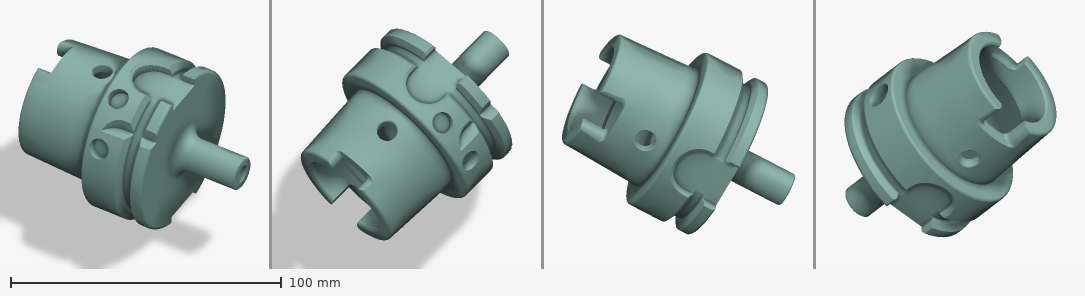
import cadquery as cq
import math


TOTAL_LENGTH = 83.0
TAPER_LENGTH = 32.0
FLANGE_WIDTH = 25.9
FLANGE_END = TAPER_LENGTH + FLANGE_WIDTH

FLANGE_RADIUS = 31.5
TAPER_BASE_RADIUS = 24.3
TAPER_SLOPE = 0.05
TAPER_TIP_RADIUS = TAPER_BASE_RADIUS - TAPER_SLOPE * TAPER_LENGTH
ARBOR_RADIUS = 6.5

TIP_FILLET = 1.2
FLANGE_FRONT_FILLET = 1.1
FLANGE_BACK_FILLET = 1.25
ARBOR_FILLET = 5.0
ARBOR_CHAMFER = 0.5

GROOVE_CENTRE_X = 50.05
GROOVE_WIDTH = 3.7
GROOVE_RADIUS = 27.5
GROOVE_FLARE_LENGTH = 1.5
GROOVE_FLARE_DEPTH = 2.6

BORE_RADIUS = 17.0
BORE_CHAMFER = 0.7
BORE_LIP_END = 12.8
UNDERCUT_RADIUS = 19.9
UNDERCUT_BEVEL_LENGTH = 1.7
BORE_FLOOR_X = 30.0
BORE_FLOOR_FILLET = 4.4
TUBE_HOLE_RADIUS = 9.1
TUBE_HOLE_CHAMFER = 0.5
TUBE_HOLE_DEPTH = 10.0
COOLANT_HOLE_RADIUS = 3.5

DRIVE_SLOT_HALF_WIDTH = 6.2
DRIVE_SLOT_FLARE_RADIUS = 3.0
DRIVE_SLOT_SHOULDER_Z = 21.0
DRIVE_SLOT_FLOOR_FILLET = 1.5
TOP_DRIVE_SLOT_DEPTH = 6.15
BOTTOM_DRIVE_SLOT_DEPTH = 10.05

CROSS_HOLE_X = 23.1
CROSS_HOLE_RADIUS = 3.7
CROSS_HOLE_CHAMFER = 0.4

KEY_SLOT_FLOOR = 26.5
KEY_SLOT_END_CENTRE_X = 45.15
TOP_KEY_SLOT_HALF_WIDTH = 8.0
BOTTOM_KEY_SLOT_HALF_WIDTH = 9.0
KEY_SLOT_CHAMFER = 1.1

NOTCH_ANGLE = 45.0
NOTCH_CORNER = 19.8
NOTCH_CUTTER_RADIUS = 8.0
NOTCH_CUTTER_X = 44.1

RIM_HOLE_RADIUS = 4.0
RIM_HOLE_X = 38.1
RIM_HOLE_DEPTH = 4.15
RIM_HOLE_OFFSET_ANGLE = 18.5
CHIP_HOLE_RADIUS = 5.0
CHIP_HOLE_X = 39.0
CHIP_HOLE_ANGLE = -90.0
CHIP_HOLE_DEPTH = 4.6

MARGIN = 4.15
REACH = 0.8

QUARTER_ROUND_MID = 1 - math.sqrt(0.5)


def revolve_about_x(profile):
    """Turn a closed profile drawn as (x, radius) around the X axis."""
    return profile.close().revolve(360, (0, 0, 0), (1, 0, 0))


def make_taper():
    taper = revolve_about_x(
        cq.Workplane("XY")
        .lineTo(0, TAPER_TIP_RADIUS)
        .lineTo(TAPER_LENGTH, TAPER_BASE_RADIUS)
        .lineTo(TAPER_LENGTH, 0)
    )
    return cut_cross_hole(taper.faces("<X").edges().fillet(TIP_FILLET))


def cut_cross_hole(taper):
    """Drill through the taper along Z and chamfer both hole rims."""
    hole = (
        cq.Workplane("XY")
        .center(CROSS_HOLE_X, 0)
        .circle(CROSS_HOLE_RADIUS)
        .extrude(TAPER_BASE_RADIUS, both=True)
    )
    reach = CROSS_HOLE_RADIUS + REACH
    rims = cq.selectors.BoxSelector(
        (CROSS_HOLE_X - reach, -reach, -TAPER_BASE_RADIUS),
        (CROSS_HOLE_X + reach, reach, TAPER_BASE_RADIUS),
        boundingbox=True,
    )
    return taper.cut(hole).edges(rims).edges("not |Z").chamfer(CROSS_HOLE_CHAMFER)


def make_flange():
    flange = revolve_about_x(
        cq.Workplane("XY")
        .moveTo(TAPER_LENGTH, 0)
        .lineTo(TAPER_LENGTH, FLANGE_RADIUS)
        .lineTo(FLANGE_END, FLANGE_RADIUS)
        .lineTo(FLANGE_END, 0)
    )
    for half_width, side in ((TOP_KEY_SLOT_HALF_WIDTH, 1), (BOTTOM_KEY_SLOT_HALF_WIDTH, -1)):
        flange = cut_key_slot(flange, half_width, side)
    flange = flange.faces("<X").edges().fillet(FLANGE_FRONT_FILLET)
    return flange.cut(make_back_rounding()).cut(make_groove())


def cut_key_slot(flange, half_width, side):
    """Cut a flat-floored, round-ended slot on the +Z (side 1) or -Z (side -1) rim."""
    floor_plane = cq.Workplane("XY").workplane(offset=side * KEY_SLOT_FLOOR)
    height = side * (FLANGE_RADIUS - KEY_SLOT_FLOOR + MARGIN)
    open_end = FLANGE_END + MARGIN
    slot = (
        floor_plane.moveTo(open_end, half_width)
        .lineTo(KEY_SLOT_END_CENTRE_X, half_width)
        .threePointArc(
            (KEY_SLOT_END_CENTRE_X - half_width, 0),
            (KEY_SLOT_END_CENTRE_X, -half_width),
        )
        .lineTo(open_end, -half_width)
        .close()
        .extrude(height)
    )
    mouth_z = math.sqrt(FLANGE_RADIUS**2 - half_width**2)
    mouth = cq.selectors.BoxSelector(
        (TAPER_LENGTH + REACH, -half_width - REACH, side * (mouth_z - REACH)),
        (FLANGE_END - REACH, half_width + REACH, side * (FLANGE_RADIUS + REACH)),
    )
    return flange.cut(slot).edges(mouth).chamfer(KEY_SLOT_CHAMFER)


def make_back_rounding():
    """Ring outside the quarter round on the arbor-side edge of the flange."""
    mid = FLANGE_BACK_FILLET * QUARTER_ROUND_MID
    start_x = FLANGE_END - FLANGE_BACK_FILLET
    end_radius = FLANGE_RADIUS - FLANGE_BACK_FILLET
    return revolve_about_x(
        cq.Workplane("XY")
        .moveTo(start_x, FLANGE_RADIUS)
        .threePointArc((FLANGE_END - mid, FLANGE_RADIUS - mid), (FLANGE_END, end_radius))
        .lineTo(FLANGE_END, FLANGE_RADIUS + MARGIN)
        .lineTo(start_x, FLANGE_RADIUS + MARGIN)
    )


def make_groove():
    """Straight-walled ring groove whose mouth flares outward on both sides."""
    wall = GROOVE_WIDTH / 2
    flared = wall + GROOVE_FLARE_LENGTH
    flare_radius = FLANGE_RADIUS - GROOVE_FLARE_DEPTH
    outline = (
        (-wall, GROOVE_RADIUS),
        (-wall, flare_radius),
        (-flared, FLANGE_RADIUS),
        (-flared, FLANGE_RADIUS + MARGIN),
        (flared, FLANGE_RADIUS + MARGIN),
        (flared, FLANGE_RADIUS),
        (wall, flare_radius),
        (wall, GROOVE_RADIUS),
    )
    points = [(GROOVE_CENTRE_X + x, radius) for x, radius in outline]
    return revolve_about_x(cq.Workplane("XY").polyline(points))


def make_arbor():
    blend_outer = ARBOR_RADIUS + ARBOR_FILLET
    blend_end = FLANGE_END + ARBOR_FILLET
    mid = ARBOR_FILLET * QUARTER_ROUND_MID
    arbor = revolve_about_x(
        cq.Workplane("XY")
        .moveTo(TAPER_LENGTH, 0)
        .lineTo(TAPER_LENGTH, blend_outer)
        .lineTo(FLANGE_END, blend_outer)
        .threePointArc((FLANGE_END + mid, ARBOR_RADIUS + mid), (blend_end, ARBOR_RADIUS))
        .lineTo(TOTAL_LENGTH, ARBOR_RADIUS)
        .lineTo(TOTAL_LENGTH, 0)
    )
    return arbor.faces(">X").edges().chamfer(ARBOR_CHAMFER)


def make_bore():
    """Clamping bore with an undercut behind its lip, tube hole and coolant hole."""
    fillet_start_x = BORE_FLOOR_X - BORE_FLOOR_FILLET
    floor_radius = UNDERCUT_RADIUS - BORE_FLOOR_FILLET
    mid = BORE_FLOOR_FILLET * QUARTER_ROUND_MID
    tube_hole_end = BORE_FLOOR_X + TUBE_HOLE_DEPTH
    return revolve_about_x(
        cq.Workplane("XY")
        .lineTo(0, BORE_RADIUS + BORE_CHAMFER)
        .lineTo(BORE_CHAMFER, BORE_RADIUS)
        .lineTo(BORE_LIP_END, BORE_RADIUS)
        .lineTo(BORE_LIP_END + UNDERCUT_BEVEL_LENGTH, UNDERCUT_RADIUS)
        .lineTo(fillet_start_x, UNDERCUT_RADIUS)
        .threePointArc((BORE_FLOOR_X - mid, UNDERCUT_RADIUS - mid), (BORE_FLOOR_X, floor_radius))
        .lineTo(BORE_FLOOR_X, TUBE_HOLE_RADIUS)
        .lineTo(BORE_FLOOR_X + TUBE_HOLE_CHAMFER, TUBE_HOLE_RADIUS - TUBE_HOLE_CHAMFER)
        .lineTo(tube_hole_end, TUBE_HOLE_RADIUS - TUBE_HOLE_CHAMFER)
        .lineTo(tube_hole_end, COOLANT_HOLE_RADIUS)
        .lineTo(TOTAL_LENGTH, COOLANT_HOLE_RADIUS)
        .lineTo(TOTAL_LENGTH, 0)
    )


def make_drive_slot(depth, side):
    """Slot across the taper wall; its sides flare out in a quarter round at the rim."""
    half = DRIVE_SLOT_HALF_WIDTH
    flare = DRIVE_SLOT_FLARE_RADIUS
    shoulder_z = DRIVE_SLOT_SHOULDER_Z
    flare_z = shoulder_z - flare
    mid = flare * QUARTER_ROUND_MID
    outer = TAPER_BASE_RADIUS
    slot = (
        cq.Workplane("YZ")
        .moveTo(-half, 0)
        .lineTo(-half, flare_z)
        .threePointArc((-half - mid, shoulder_z - mid), (-half - flare, shoulder_z))
        .lineTo(-outer, shoulder_z)
        .lineTo(-outer, outer)
        .lineTo(outer, outer)
        .lineTo(outer, shoulder_z)
        .lineTo(half + flare, shoulder_z)
        .threePointArc((half + mid, shoulder_z - mid), (half, flare_z))
        .lineTo(half, 0)
        .close()
        .extrude(depth)
    )
    side_edges = cq.selectors.BoxSelector(
        (depth - REACH, -outer + REACH, REACH),
        (depth + REACH, outer - REACH, outer - REACH),
    )
    slot = slot.edges(side_edges).fillet(DRIVE_SLOT_FLOOR_FILLET)
    slot = slot.union(make_slot_floor_chamfer(depth))
    return slot if side > 0 else slot.mirror("XY")


def make_slot_floor_chamfer(depth):
    """Conical cut that carries the bore chamfer across the flat floor of a drive slot."""
    chamfer = BORE_CHAMFER
    cone = revolve_about_x(
        cq.Workplane("XY")
        .moveTo(depth - chamfer, 0)
        .lineTo(depth - chamfer, BORE_RADIUS + chamfer)
        .lineTo(depth, BORE_RADIUS + chamfer)
        .lineTo(depth + chamfer, BORE_RADIUS)
        .lineTo(depth + chamfer, 0)
    )
    floor_half_width = DRIVE_SLOT_HALF_WIDTH - DRIVE_SLOT_FLOOR_FILLET
    floor_strip = (
        cq.Workplane("YZ")
        .center(-floor_half_width, 0)
        .rect(2 * floor_half_width, TAPER_BASE_RADIUS, centered=False)
        .extrude(depth + chamfer)
    )
    return cone.intersect(floor_strip)


def make_notch():
    """Square corner notch on the -Y, +Z rim, run out by a round cutter along Z."""
    height = FLANGE_RADIUS - NOTCH_CORNER
    floor = cq.Workplane("XY").workplane(offset=NOTCH_CORNER)
    length = FLANGE_END + MARGIN - NOTCH_CUTTER_X
    width = 2 * NOTCH_CUTTER_RADIUS
    channel = (
        floor.center(NOTCH_CUTTER_X, -NOTCH_CORNER - width)
        .rect(length, width, centered=False)
        .extrude(height)
    )
    run_out = (
        floor.center(NOTCH_CUTTER_X, -NOTCH_CORNER - NOTCH_CUTTER_RADIUS)
        .circle(NOTCH_CUTTER_RADIUS)
        .extrude(height)
    )
    return channel.union(run_out)


def make_radial_hole(x, angle, radius, depth):
    """Blind hole pointing at the axis; the angle turns from +Z towards -Y."""
    hole = (
        cq.Workplane("XY")
        .workplane(offset=FLANGE_RADIUS - depth)
        .center(x, 0)
        .circle(radius)
        .extrude(depth + MARGIN)
    )
    return hole.rotate((0, 0, 0), (1, 0, 0), angle)


result = make_taper().union(make_flange()).union(make_arbor())
result = result.cut(make_bore())
result = result.cut(make_drive_slot(TOP_DRIVE_SLOT_DEPTH, 1))
result = result.cut(make_drive_slot(BOTTOM_DRIVE_SLOT_DEPTH, -1))
result = result.cut(make_notch())
for angle in (NOTCH_ANGLE - RIM_HOLE_OFFSET_ANGLE, NOTCH_ANGLE + RIM_HOLE_OFFSET_ANGLE):
    result = result.cut(make_radial_hole(RIM_HOLE_X, angle, RIM_HOLE_RADIUS, RIM_HOLE_DEPTH))
result = result.cut(make_radial_hole(CHIP_HOLE_X, CHIP_HOLE_ANGLE, CHIP_HOLE_RADIUS, CHIP_HOLE_DEPTH))